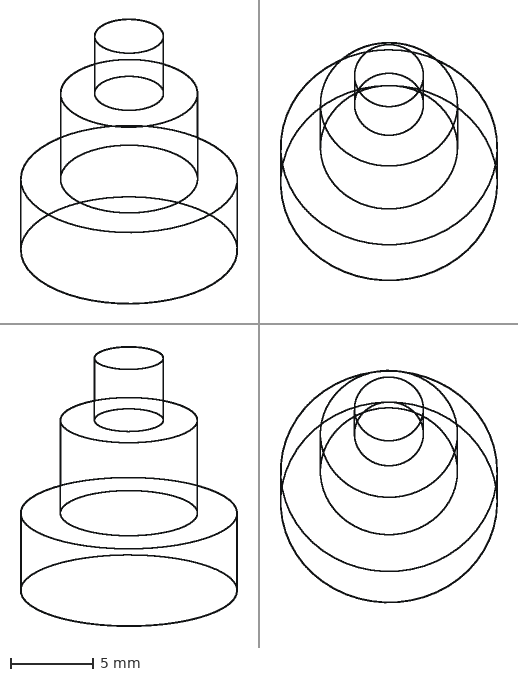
import cadquery as cq

total_height = 15.0
base_height = 5.0
body_height = 6.0
pin_height = total_height - base_height - body_height

base_diameter = 13.2
body_diameter = 8.35
pin_diameter = 4.2

steps = [
    (base_diameter, base_height),
    (body_diameter, body_height),
    (pin_diameter, pin_height),
]

result = cq.Workplane("XY").circle(steps[0][0] / 2).extrude(steps[0][1])
for diameter, height in steps[1:]:
    result = result.faces(">Z").workplane().circle(diameter / 2).extrude(height)